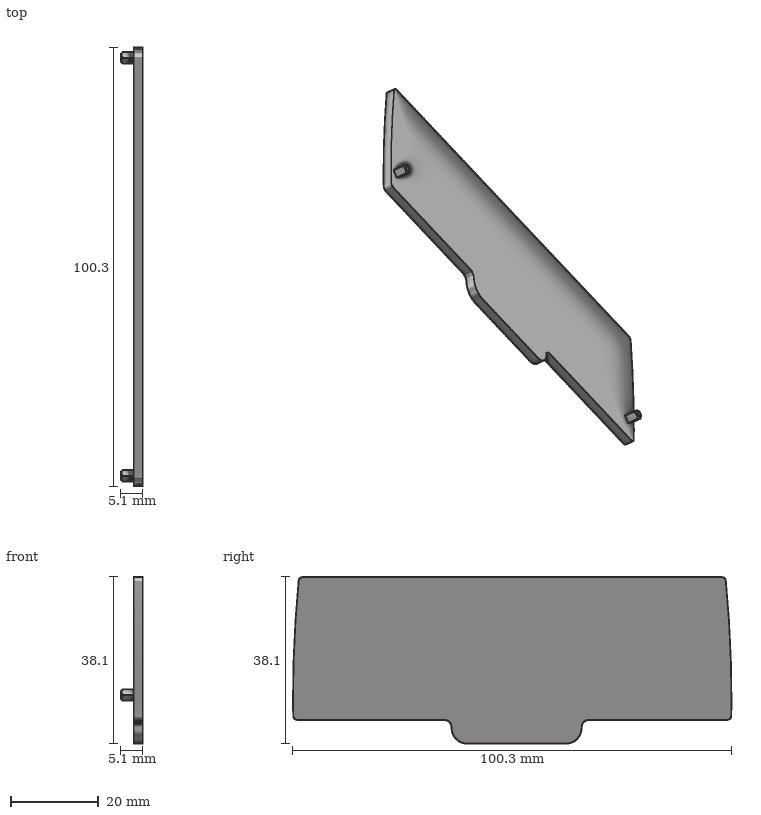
import cadquery as cq
import math

plate_thickness = 2.1
plate_half_width = 50.135
top_z = 38.1
shoulder_z = 5.4
widest_z = 9.8
upper_bow_radius = 290.0
lower_bow_radius = 75.0
top_corner_radius = 1.0
bottom_corner_radius = 1.0

tab_center_y = 1.0
tab_root_half_width = 15.1
tab_tip_half_width = 14.5
tab_root_radius = 1.5
tab_tip_radius = 3.6

pin_side = 2.0
pin_corner_diameter = 2.7
pin_length = 3.0
pin_tip_chamfer = 0.55
pin_offset_y = 47.75
pin_z = 11.15


def side_point(side, z, bow_radius):
    """Point (y, z) on the bowed left (-1) or right (+1) side of the plate."""
    inset = bow_radius - math.sqrt(bow_radius**2 - (z - widest_z) ** 2)
    return side * (plate_half_width - inset), z


def fillet_corners(body, corners, radius):
    """Round the plate corners that pass through the given (y, z) points."""
    reach = 0.05
    for y, z in corners:
        box = cq.selectors.BoxSelector(
            (-reach, y - reach, z - reach),
            (plate_thickness + reach, y + reach, z + reach),
        )
        body = body.edges("|X").edges(box).fillet(radius)
    return body


def make_plate():
    """Plate with bowed sides, an offset tab and rounded corners."""
    upper_middle_z = (widest_z + top_z) / 2
    lower_middle_z = (widest_z + shoulder_z) / 2
    top_corners = [side_point(side, top_z, upper_bow_radius) for side in (-1, 1)]
    upper_middles = [side_point(side, upper_middle_z, upper_bow_radius) for side in (-1, 1)]
    lower_middles = [side_point(side, lower_middle_z, lower_bow_radius) for side in (-1, 1)]
    bottom_corners = [side_point(side, shoulder_z, lower_bow_radius) for side in (-1, 1)]
    root_corners = [(tab_center_y + side * tab_root_half_width, shoulder_z) for side in (-1, 1)]
    tip_corners = [(tab_center_y + side * tab_tip_half_width, 0) for side in (-1, 1)]

    plate = (
        cq.Workplane("YZ")
        .moveTo(*bottom_corners[0])
        .lineTo(*root_corners[0])
        .lineTo(*tip_corners[0])
        .lineTo(*tip_corners[1])
        .lineTo(*root_corners[1])
        .lineTo(*bottom_corners[1])
        .threePointArc(lower_middles[1], (plate_half_width, widest_z))
        .threePointArc(upper_middles[1], top_corners[1])
        .lineTo(*top_corners[0])
        .threePointArc(upper_middles[0], (-plate_half_width, widest_z))
        .threePointArc(lower_middles[0], bottom_corners[0])
        .close()
        .extrude(plate_thickness)
    )
    plate = fillet_corners(plate, bottom_corners, bottom_corner_radius)
    plate = fillet_corners(plate, top_corners, top_corner_radius)
    plate = fillet_corners(plate, root_corners, tab_root_radius)
    return fillet_corners(plate, tip_corners, tab_tip_radius)


def make_pin(center_y):
    """Square pin on the -X face of the plate, its corners rounded and cut to a cone at the tip."""
    square = cq.Workplane("YZ").rect(pin_side, pin_side).extrude(-pin_length)
    envelope = (
        cq.Workplane("YZ")
        .circle(pin_corner_diameter / 2)
        .extrude(-pin_length)
        .faces("<X")
        .chamfer(pin_tip_chamfer)
    )
    pin = square.intersect(envelope)
    return pin.rotate((0, 0, 0), (1, 0, 0), 45).translate((0, center_y, pin_z))


result = make_plate()
for side in (-1, 1):
    result = result.union(make_pin(side * pin_offset_y))